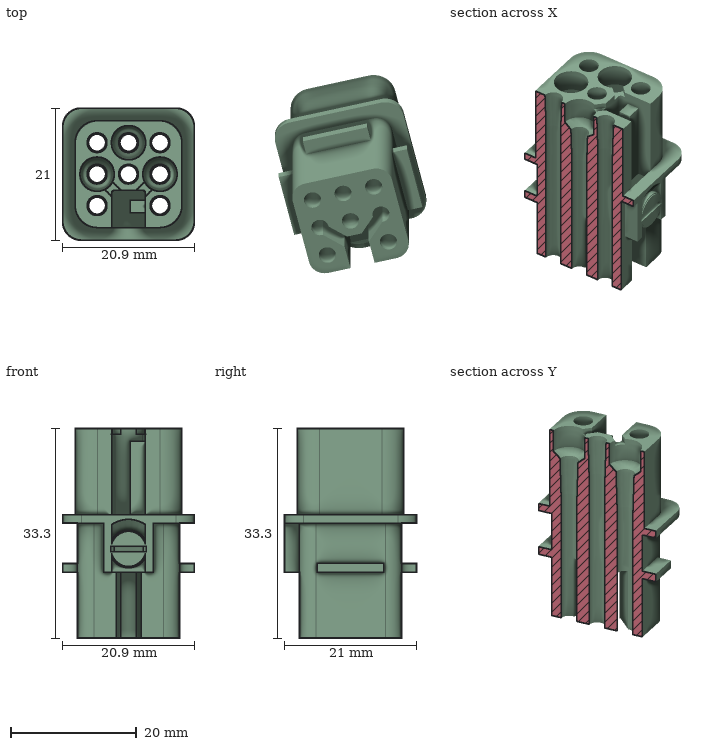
import cadquery as cq

TOTAL_HEIGHT = 33.3
FLANGE_TOP = 19.58
FLANGE_THICKNESS = 1.33
FLANGE_BOTTOM = FLANGE_TOP - FLANGE_THICKNESS
FLANGE_X = 20.95
FLANGE_Y = 21.0
FLANGE_CORNER = 3.0
UPPER_SIDE = 16.95
UPPER_CORNER = 3.5
LOWER_SIDE = 16.22
LOWER_CORNER = 2.55

RIB_BOTTOM = 10.42
RIB_HEIGHT = 1.43
RIB_LENGTH = 10.52

HOLE_PITCH = 5.0
HOLE_RADIUS = 1.35
MOUTH_RADIUS = 1.55
TAPER_LENGTH = 6.65
WELL_RADIUS = 2.73
WELL_CONE_TOP = 29.55
WELL_CONE_HEIGHT = 1.0
WELL_BOTTOM = WELL_CONE_TOP - WELL_CONE_HEIGHT
CORNER_AND_CENTRE_PLACES = [(-1, 1), (1, 1), (0, 0), (-1, -1), (1, -1)]
WELL_PLACES = [(0, 1), (-1, 0), (1, 0)]

SLOT_BACK = -2.55
UPPER_SLOT_WIDTH = 5.35
UPPER_SLOT_FLOOR = 17.85
UPPER_SLOT_CORNER = 0.45
LOWER_SLOT_WIDTH = 3.95
LOWER_SLOT_TOP = RIB_BOTTOM
KEY_WIDTH = 2.4
KEY_FRONT = -6.13
KEY_DEPTH = 2.0
KEY_TOP = 31.27

CHANNEL_WIDTH = 1.73
CHANNEL_DEPTH = 0.93

BOSS_FRONT = -FLANGE_Y / 2
BOSS_WIDTH = 7.93
BOSS_BOTTOM = RIB_BOTTOM
POCKET_WIDTH = UPPER_SLOT_WIDTH
POCKET_DEPTH = 1.83
ROOF_MOUTH_RADIUS = 4.7
SCREW_Z = 14.15
SCREW_RADIUS = 3.0
ROOF_INNER_RADIUS = SCREW_RADIUS
SCREW_FACE_RADIUS = 2.8
SCREW_FACE_RISE = 0.13
SCREW_HEAD_LENGTH = 0.85
SHANK_RADIUS = 1.65
DRIVE_WIDTH = 0.83
DRIVE_DEPTH = 0.6
DRIVE_FLOOR_LENGTH = 4.6


def box(x_min, x_max, y_min, y_max, z_min, z_max):
    """Axis-aligned block between the given limits."""
    size = (x_max - x_min, y_max - y_min, z_max - z_min)
    return cq.Workplane("XY").box(*size, centered=False).translate((x_min, y_min, z_min))


def rounded_block(size_x, size_y, corner, z_min, z_max):
    """Block centred on the Z axis with rounded upright edges."""
    block = box(-size_x / 2, size_x / 2, -size_y / 2, size_y / 2, z_min, z_max)
    return block.edges("|Z").fillet(corner)


def front_cone(front_radius, back_radius, depth):
    """Cone about the screw axis, starting at the boss front and going in along +Y."""
    profile = [(0, 0), (front_radius, 0), (back_radius, depth), (0, depth)]
    cone = cq.Workplane("XY").polyline(profile).close().revolve(360, (0, 0), (0, 1))
    return cone.translate((0, BOSS_FRONT, SCREW_Z))


def make_body():
    lower = rounded_block(LOWER_SIDE, LOWER_SIDE, LOWER_CORNER, 0, FLANGE_TOP)
    flange = rounded_block(FLANGE_X, FLANGE_Y, FLANGE_CORNER, FLANGE_BOTTOM, FLANGE_TOP)
    upper = rounded_block(UPPER_SIDE, UPPER_SIDE, UPPER_CORNER, FLANGE_BOTTOM, TOTAL_HEIGHT)
    return lower.union(flange).union(upper)


def make_ribs():
    rib_top = RIB_BOTTOM + RIB_HEIGHT
    half = RIB_LENGTH / 2
    side_ribs = box(-FLANGE_X / 2, FLANGE_X / 2, -half, half, RIB_BOTTOM, rib_top)
    back_rib = box(-half, half, 0, FLANGE_Y / 2, RIB_BOTTOM, rib_top)
    return side_ribs.union(back_rib)


def upright_cutter(profile, place):
    """Cutter made by turning a (radius, height) profile about a hole's axis."""
    column, row = place
    cutter = cq.Workplane("XZ").polyline(profile).close().revolve(360, (0, 0), (0, 1))
    return cutter.translate((column * HOLE_PITCH, row * HOLE_PITCH, 0))


def make_contact_hole(place, mouth):
    """Through hole, tapering gently inward below its mouth height."""
    profile = [
        (0, 0),
        (HOLE_RADIUS, 0),
        (HOLE_RADIUS, mouth - TAPER_LENGTH),
        (MOUTH_RADIUS, mouth),
        (0, mouth),
    ]
    return upright_cutter(profile, place)


def make_well(place):
    """Wide bore in the top that tapers down to the contact hole."""
    profile = [
        (0, WELL_BOTTOM),
        (MOUTH_RADIUS, WELL_BOTTOM),
        (WELL_RADIUS, WELL_CONE_TOP),
        (WELL_RADIUS, TOTAL_HEIGHT),
        (0, TOTAL_HEIGHT),
    ]
    return upright_cutter(profile, place)


def make_channels(z_min, z_max):
    """Two mirrored 45 degree channels from the slot to the centres of the side wells."""
    length = HOLE_PITCH
    half = CHANNEL_WIDTH / 2
    channels = cq.Workplane("XY")
    for side, angle in ((-1, -45), (1, -135)):
        channel = box(0, length, -half, half, z_min, z_max).rotate((0, 0, 0), (0, 0, 1), angle)
        channels = channels.union(channel.translate((side * HOLE_PITCH, 0, 0)))
    return channels


def make_upper_slot():
    half = UPPER_SLOT_WIDTH / 2
    slot = box(-half, half, -UPPER_SIDE / 2, SLOT_BACK, UPPER_SLOT_FLOOR, TOTAL_HEIGHT)
    slot = slot.edges("|Z and >Y").fillet(UPPER_SLOT_CORNER)
    key = box(half - KEY_WIDTH, half, KEY_FRONT, KEY_FRONT + KEY_DEPTH, UPPER_SLOT_FLOOR, KEY_TOP)
    return slot.cut(key)


def make_lower_slot():
    half = LOWER_SLOT_WIDTH / 2
    return box(-half, half, -LOWER_SIDE / 2, SLOT_BACK, 0, LOWER_SLOT_TOP)


def make_boss():
    half = BOSS_WIDTH / 2
    return box(-half, half, BOSS_FRONT, -LOWER_SIDE / 2, BOSS_BOTTOM, FLANGE_TOP)


def make_pocket():
    """Recess open to the front and below, with a conical roof around the screw."""
    half = POCKET_WIDTH / 2
    back = BOSS_FRONT + POCKET_DEPTH
    roof_limit = SCREW_Z + ROOF_MOUTH_RADIUS
    roof = front_cone(ROOF_MOUTH_RADIUS, ROOF_INNER_RADIUS, POCKET_DEPTH)
    roof = roof.intersect(box(-half, half, BOSS_FRONT, back, SCREW_Z, roof_limit))
    return roof.union(box(-half, half, BOSS_FRONT, back, BOSS_BOTTOM, SCREW_Z))


def make_screw():
    """Shank and head, whose raised face is flush with the boss front."""
    face = front_cone(SCREW_FACE_RADIUS, SCREW_FACE_RADIUS, SCREW_HEAD_LENGTH)
    rim = front_cone(SCREW_RADIUS, SCREW_RADIUS, SCREW_HEAD_LENGTH - SCREW_FACE_RISE)
    shank = front_cone(SHANK_RADIUS, SHANK_RADIUS, POCKET_DEPTH)
    return shank.union(face).union(rim.translate((0, SCREW_FACE_RISE, 0)))


def make_drive_slot():
    """Straight screwdriver slot with sloping ends, as long as the raised face is wide."""
    outline = [
        (-SCREW_FACE_RADIUS, 0),
        (SCREW_FACE_RADIUS, 0),
        (DRIVE_FLOOR_LENGTH / 2, DRIVE_DEPTH),
        (-DRIVE_FLOOR_LENGTH / 2, DRIVE_DEPTH),
    ]
    drive = cq.Workplane("XY").polyline(outline).close().extrude(DRIVE_WIDTH)
    return drive.translate((0, BOSS_FRONT, SCREW_Z - DRIVE_WIDTH / 2))


result = make_body().union(make_ribs()).union(make_boss())
result = result.cut(make_upper_slot()).cut(make_lower_slot())
result = result.cut(make_channels(TOTAL_HEIGHT - CHANNEL_DEPTH, TOTAL_HEIGHT))
result = result.cut(make_channels(0, LOWER_SLOT_TOP))
for place in CORNER_AND_CENTRE_PLACES:
    result = result.cut(make_contact_hole(place, TOTAL_HEIGHT))
for place in WELL_PLACES:
    result = result.cut(make_well(place)).cut(make_contact_hole(place, WELL_BOTTOM))
result = result.cut(make_pocket()).union(make_screw()).cut(make_drive_slot())